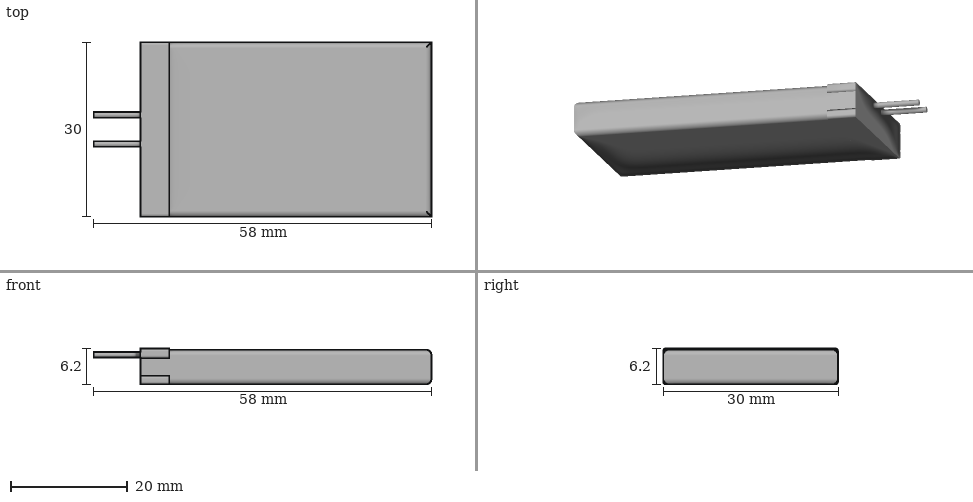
import cadquery as cq

cell_length = 50.0
cell_width = 30.0
cell_height = 6.0
cell_edge_radius = 1.0

neck_length = 5.0
neck_bottom = 1.5
neck_top = cell_height - neck_bottom

strip_edge_radius = 0.5
upper_strip_rise = 0.2
upper_strip_top = cell_height + upper_strip_rise

wire_diameter = 1.0
wire_length = 8.0
wire_spacing = 5.0
wire_height = 5.1


def block(start_x, end_x, bottom, top):
    """Box of the full cell width, centred on Y = 0."""
    return (
        cq.Workplane("XY", origin=(start_x, 0, bottom))
        .box(end_x - start_x, cell_width, top - bottom, centered=(False, True, False))
    )


def make_cell():
    """Pouch rounded along its sides and far end, with a sharp-edged neck at the terminal end."""
    pouch = (
        block(neck_length, cell_length, 0, cell_height)
        .faces("<Z or >Z")
        .edges("|X or >X")
        .fillet(cell_edge_radius)
    )
    neck = block(0, neck_length, neck_bottom, neck_top)
    return pouch.union(neck)


def make_strip(bottom, top):
    """End strip across the cell, rounded along its four lengthwise edges."""
    return block(0, neck_length, bottom, top).edges("|X").fillet(strip_edge_radius)


def make_wires():
    """Two round wires leaving the terminal end toward -X."""
    return (
        cq.Workplane("YZ")
        .pushPoints([(side * wire_spacing / 2, wire_height) for side in (-1, 1)])
        .circle(wire_diameter / 2)
        .extrude(-wire_length)
    )


cell = make_cell()
lower_strip = make_strip(0, neck_bottom)
upper_strip = make_strip(neck_top, upper_strip_top).union(make_wires())

bodies = [cell, lower_strip, upper_strip]
result = cq.Compound.makeCompound([body.solids().val() for body in bodies])